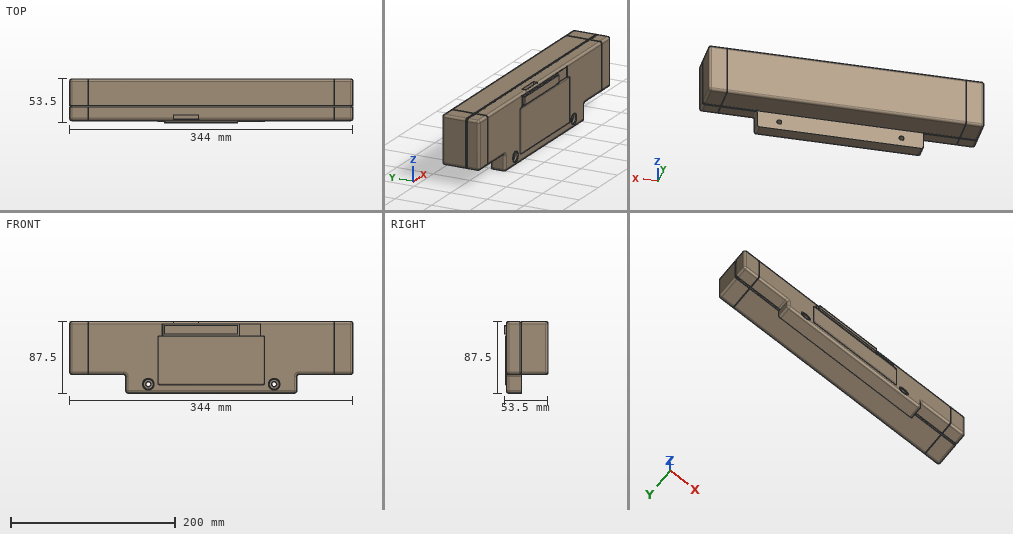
import cadquery as cq

length = 344.0
height = 87.5
front_depth = 18.5
back_depth = 32.5
bar_bottom = 22.7
tab_width = 207.8
edge_radius = 3.0
tab_corner_radius = 2.5

seam_groove_width = 2.0
seam_groove_depth = 1.5
end_groove_width = 0.7
end_groove_depth = 0.5
end_groove_x = 149.3

panel_width = 129.5
panel_bottom = 10.3
panel_top = 70.0
panel_rise = 1.0
panel_corner_radius = 2.0
panel_rim_radius = 0.85

track_width = 119.7
track_bottom = panel_top
track_top = height - edge_radius
track_depth = 1.7
slider_width = 93.0
slider_left_gap = 1.0
grip_margin = 2.0
grip_rise = 2.5
slider_x = -track_width / 2 + slider_left_gap + slider_width / 2

slot_length = 30.3
slot_width = 5.0
slot_depth = 5.0
slot_x = -30.5
slot_front_wall = 2.0

screw_x = 76.5
screw_z = 11.0
screw_diameter = 6.0
counterbore_diameter = 12.0
counterbore_depth = 4.0
counterbore_chamfer = 1.0


def block(x_size, x_center, y_min, y_max, z_min, z_max):
    """Box centred on x_center, between the given Y and Z limits."""
    return (
        cq.Workplane("XY")
        .box(x_size, y_max - y_min, z_max - z_min, centered=(True, False, False))
        .translate((x_center, y_min, z_min))
    )


def groove_core(depth):
    """The long bar shrunk by the groove depth, which is left standing inside a groove."""
    return (
        block(
            length - 2 * depth, 0,
            depth - front_depth, back_depth - depth,
            bar_bottom + depth, height - depth,
        )
        .edges()
        .fillet(edge_radius - depth)
    )


def cut_end_grooves(shell):
    """Cut the narrow groove that runs around the bar near each end."""
    core = groove_core(end_groove_depth)
    for side in (-1, 1):
        band = block(end_groove_width, side * end_groove_x, -front_depth, back_depth, bar_bottom, height)
        shell = shell.cut(band.cut(core))
    return shell


def front_shell_blank():
    """Front half of the bar with the tab below its middle, all visible edges rounded."""
    bar = block(length, 0, -front_depth, 0, bar_bottom, height).edges("|Y").fillet(edge_radius)
    tab = block(tab_width, 0, -front_depth, 0, 0, bar_bottom + edge_radius).edges("|Y and <Z").fillet(edge_radius)
    blank = bar.union(tab)
    for side in (-1, 1):
        inner_corner = (side * tab_width / 2, -front_depth / 2, bar_bottom)
        blank = (
            blank.edges(cq.selectors.NearestToPointSelector(inner_corner))
            .fillet(tab_corner_radius)
        )
    return blank.faces("<Y").edges().fillet(edge_radius)


def cut_seam_groove(shell):
    """Cut the rebate along the seam, stopping at the mounting tab below the bar."""
    band = block(length, 0, -seam_groove_width, 0, bar_bottom, height)
    tab = block(tab_width, 0, -seam_groove_width, 0, 0, bar_bottom + edge_radius)
    return shell.cut(band.cut(groove_core(seam_groove_depth)).cut(tab))


def add_panel(shell):
    """Add the raised panel with rounded corners and a rounded rim."""
    panel = (
        block(panel_width, 0, -front_depth - panel_rise, -front_depth, panel_bottom, panel_top)
        .edges("|Y")
        .fillet(panel_corner_radius)
        .faces("<Y")
        .edges()
        .fillet(panel_rim_radius)
    )
    return shell.union(panel)


def cut_screw_holes(shell):
    """Cut the two counterbored screw holes and break their rims."""
    counterbore_radius = counterbore_diameter / 2
    rim_radius = counterbore_radius + counterbore_chamfer
    for side in (-1, 1):
        face = cq.Workplane("XZ", origin=(side * screw_x, -front_depth, screw_z))
        hole = face.circle(screw_diameter / 2).extrude(-front_depth)
        counterbore = face.circle(counterbore_radius).extrude(-counterbore_depth)
        shell = shell.cut(hole).cut(counterbore)
        rim = cq.Solid.makeCone(
            rim_radius, counterbore_radius, counterbore_chamfer,
            pnt=face.plane.origin, dir=cq.Vector(0, 1, 0),
        )
        shell = shell.cut(cq.Workplane(rim))
    return shell


def make_front_shell():
    """Front half with the mounting tab, panel, slider track, slot and screw holes."""
    shell = front_shell_blank()
    shell = cut_end_grooves(shell)
    shell = cut_seam_groove(shell)
    track = block(track_width, 0, -front_depth, track_depth - front_depth, track_bottom, track_top)
    slot_front = slot_front_wall - front_depth
    slot = block(slot_length, slot_x, slot_front, slot_front + slot_width, height - slot_depth, height)
    shell = add_panel(shell).cut(track).cut(slot)
    return cut_screw_holes(shell)


def make_back_shell():
    """Plain back half of the long bar."""
    shell = (
        block(length, 0, 0, back_depth, bar_bottom, height)
        .edges("|Y or >Y")
        .fillet(edge_radius)
    )
    return cut_end_grooves(shell)


def make_slider():
    """Flat plate flush with the front face, with a raised grip."""
    plate = block(slider_width, slider_x, -front_depth, track_depth - front_depth, track_bottom, track_top)
    grip = block(
        slider_width - 2 * grip_margin, slider_x,
        -front_depth - grip_rise, -front_depth,
        track_bottom + grip_margin, track_top - grip_margin,
    )
    return plate.union(grip)


front_shell = make_front_shell()
back_shell = make_back_shell()
slider = make_slider()

result = cq.Compound.makeCompound([front_shell.val(), back_shell.val(), slider.val()])